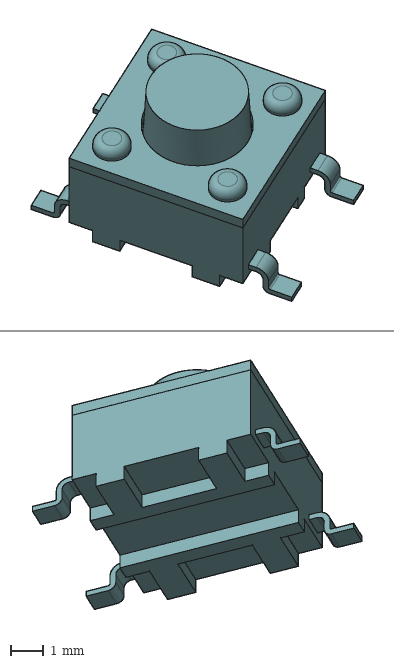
import cadquery as cq
import math

overall_length = 9.0
body_width = 6.0
base_top = 3.11
cover_thickness = 0.4
cover_top = base_top + cover_thickness

foot_height = 0.51
channel_width = 2.0
corner_notch_x = 0.8
corner_notch_y = 1.5
side_notch_length = 2.5

button_top = 5.01
button_top_radius = 1.6
button_draft = 3.0
cover_hole_radius = 1.75

rivet_radius = 0.6
rivet_height = 0.4
rivet_fillet = 0.3
rivet_offset = 2.0

lead_thickness = 0.2
lead_width = 0.7
lead_offset_y = 2.25
lead_top = 1.0
shank_outer_x = 3.7
upper_bend_radius = 0.23
lower_bend_radius = 0.05

half_width = body_width / 2


def make_base():
    """Square block standing on four L-shaped feet."""
    base = cq.Workplane("XY").box(body_width, body_width, base_top, centered=(True, True, False))

    channel = cq.Workplane("XY").box(
        body_width, channel_width, foot_height, centered=(True, True, False)
    )
    base = base.cut(channel)

    side_notch_center = half_width - corner_notch_y / 2
    side_notches = (
        cq.Workplane("XY")
        .pushPoints([(0, -side_notch_center), (0, side_notch_center)])
        .rect(side_notch_length, corner_notch_y)
        .extrude(foot_height)
    )
    corner_notches = (
        cq.Workplane("XY")
        .rect(body_width - corner_notch_x, body_width - corner_notch_y, forConstruction=True)
        .vertices()
        .rect(corner_notch_x, corner_notch_y)
        .extrude(foot_height)
    )
    return base.cut(side_notches).cut(corner_notches)


def make_button():
    """Drafted button rising from the top of the base."""
    height = button_top - base_top
    base_radius = button_top_radius + height * math.tan(math.radians(button_draft))
    return (
        cq.Workplane("XY", origin=(0, 0, base_top))
        .circle(base_radius)
        .extrude(height, taper=button_draft)
    )


def make_lead(side_x, center_y):
    """Gull-wing lead; side_x is +1 or -1 for the side of the housing it leaves."""
    shank_inner_x = shank_outer_x - lead_thickness
    arm_z = lead_top - lead_thickness / 2
    foot_z = lead_thickness / 2
    shank_x = (shank_outer_x + shank_inner_x) / 2
    upper_radius = upper_bend_radius + lead_thickness / 2
    lower_radius = lower_bend_radius + lead_thickness / 2
    arc_middle = 1 - math.sqrt(0.5)

    center_line = (
        cq.Workplane("XZ", origin=(0, center_y, 0))
        .moveTo(half_width, arm_z)
        .lineTo(shank_x - upper_radius, arm_z)
        .threePointArc(
            (shank_x - arc_middle * upper_radius, arm_z - arc_middle * upper_radius),
            (shank_x, arm_z - upper_radius),
        )
        .lineTo(shank_x, foot_z + lower_radius)
        .threePointArc(
            (shank_x + arc_middle * lower_radius, foot_z + arc_middle * lower_radius),
            (shank_x + lower_radius, foot_z),
        )
        .lineTo(overall_length / 2, foot_z)
    )
    lead = (
        cq.Workplane("YZ", origin=(half_width, center_y, arm_z))
        .rect(lead_width, lead_thickness)
        .sweep(center_line)
    )
    if side_x < 0:
        lead = lead.mirror("YZ")
    return lead


def make_housing():
    """One solid: base, button and four leads."""
    housing = make_base().union(make_button())
    for side_x in (-1, 1):
        for center_y in (-lead_offset_y, lead_offset_y):
            housing = housing.union(make_lead(side_x, center_y))
    return housing


def make_cover():
    """Cover plate with a clearance hole for the button and four rounded rivet heads."""
    cover = (
        cq.Workplane("XY", origin=(0, 0, base_top))
        .rect(body_width, body_width)
        .circle(cover_hole_radius)
        .extrude(cover_thickness)
    )
    rivets = (
        cq.Workplane("XY", origin=(0, 0, cover_top))
        .rect(2 * rivet_offset, 2 * rivet_offset, forConstruction=True)
        .vertices()
        .circle(rivet_radius)
        .extrude(rivet_height)
        .faces(">Z")
        .edges()
        .fillet(rivet_fillet)
    )
    return cover.union(rivets)


housing = make_housing()
cover = make_cover()
result = cq.Compound.makeCompound([housing.solids().val(), cover.solids().val()])